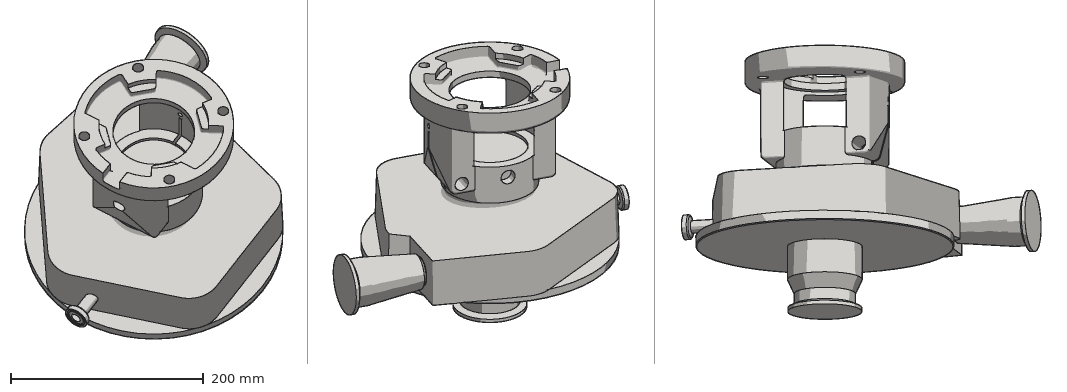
import cadquery as cq
import math


plate_radius = 134.2
plate_thickness = 9.8
plate_chamfer = 1.0
casing_top = 61.0
casing_apothem = 115.3
casing_lip = 2.5
casing_draft = 1.6
casing_corner = 34.0
outlet_wall_y = 114.0
outlet_wall_left_x = -123.5
outlet_wall_corner = 1.5
notch_top_y = 133.2

neck_radius = 45.0
neck_flare = 9.8
collar_radius = 50.8
collar_bore = 39.5
collar_bore_depth = 3.5
collar_base = 75.7
collar_top = 117.5
collar_hole_radius = 7.7
collar_hole_z = 104.0

flange_radius = 83.0
flange_bottom = 171.7
flange_top = 196.3
flange_bore = 42.5
flange_edge_round = 3.0
bolt_hole_radius = 5.5
bolt_circle = 74.0
recess_depth = 13.5
recess_radius = 73.0
recess_small_radius = 68.7
recess_round = 2.5
lug_face = 48.5
lug_half_angle = 15
lug_flat_y = -26.5
lug_overrun = 1.1
spigot_radius = 57.0
spigot_depth = 6.3
drain_slot_width = 20.7

leg_half_width = 39.0
leg_ridge_y = 68.7
leg_ridge_half_width = 2.8
leg_shoulder_y = 58.2
leg_inner_radius = 51.5
leg_relief_top = 175.2
leg_bottom = 88.0
leg_slope_top = 126.5
leg_toe_y = 58.2
leg_toe_round = 7.0
leg_edge_round = 2.8
leg_flare = 4.0
leg_hole_radius = 7.0
leg_hole_z = 130.0

slit_width = 3.0
slit_top = 145.8
slit_end_hole_radius = 2.5
slit_end_hole_z = 152.8
screw_hole_radius = 7.5
screw_y = 47.3
screw_z = 99.5

inlet_radius = 39.0
inlet_cone_top = -35.0
inlet_neck_radius = 32.0
inlet_neck_top = -50.0
inlet_end = -69.0
inlet_ferrule_radius = 38.5

outlet_x = -90.5
outlet_z = 34.7
outlet_end = 199.5
outlet_radius = 25.5
outlet_taper_end = 178.5
outlet_root_radius = 19.0
outlet_root_y = 117.8
outlet_root_round = 3.0
outlet_ferrule_radius = 32.0

ferrule_rim = 4.0
ferrule_cone = 3.0

port_z = 29.0
port_end = -151.0
port_radius = 6.5
port_bore = 5.3
port_bore_depth = 28.0
port_ferrule_radius = 13.0
port_rim = 5.3
port_cone = 1.5
port_groove_inner = 9.0
port_groove_outer = 11.0
port_groove_depth = 1.0

pipe_overlap = 7.0


def cylinder(radius, bottom, top):
    return cq.Workplane("XY").workplane(offset=bottom).circle(radius).extrude(top - bottom)


def cylinder_along_x(radius, start, length, y, z):
    return cq.Workplane("YZ", origin=(start, y, z)).circle(radius).extrude(length)


def cylinder_along_y(radius, start, length, x, z):
    return cq.Workplane("XZ", origin=(x, start, z)).circle(radius).extrude(-length)


def polar(radius, degrees):
    angle = math.radians(degrees)
    return (radius * math.cos(angle), radius * math.sin(angle))


def revolve_about_y(profile, x, z):
    """Revolve a closed (radius, y) profile about the line parallel to Y through (x, z)."""
    solid = cq.Workplane("XY").polyline(profile).close().revolve(360, (0, 0, 0), (0, 1, 0))
    return solid.translate((x, 0, z))


def base_plate():
    return cylinder(plate_radius, 0, plate_thickness).faces("<Z").edges().chamfer(plate_chamfer)


def casing():
    corner_radius = casing_apothem / math.cos(math.pi / 5)
    right_top, right_bottom, bottom, left = [polar(corner_radius, a) for a in (36, -36, -108, 180)]
    normal_x, normal_y = polar(1, 72)
    shoulder = ((casing_apothem - normal_y * notch_top_y) / normal_x, notch_top_y)
    wall_x, wall_y = polar(1, 144)
    notch_slope = -wall_y / wall_x
    notch_bottom = ((casing_apothem - wall_y * outlet_wall_y) / wall_x, outlet_wall_y)
    overrun = notch_top_y / outlet_wall_y
    left_end = (left[0] + (outlet_wall_left_x - left[0]) * overrun, notch_top_y)
    outline = [right_top, right_bottom, bottom, left, left_end, shoulder]
    height = casing_top - casing_lip - plate_thickness
    body = cq.Workplane("XY").workplane(offset=plate_thickness)
    body = body.polyline(outline).close().extrude(height, taper=casing_draft)
    for x, y in (right_top, right_bottom, bottom, left, shoulder):
        near_corner = cq.selectors.NearestToPointSelector((x, y, plate_thickness + height / 2))
        body = body.edges(near_corner).fillet(casing_corner)
    notch_rise = 2 * (notch_top_y - outlet_wall_y)
    notch = [
        notch_bottom,
        (notch_bottom[0] + notch_rise * notch_slope, notch_bottom[1] + notch_rise),
        (left[0], notch_bottom[1] + notch_rise),
        (left[0], outlet_wall_y),
    ]
    body = body.cut(cq.Workplane("XY").polyline(notch).close().extrude(casing_top))
    outlet_corner = cq.selectors.NearestToPointSelector((outlet_wall_left_x, outlet_wall_y, casing_top / 2))
    body = body.edges(outlet_corner).fillet(outlet_wall_corner)
    return body.faces(">Z").wires().toPending().workplane().extrude(casing_lip)


def neck():
    flare_radius = neck_radius + neck_flare
    flare_mid = (
        flare_radius - neck_flare * math.sin(math.pi / 4),
        casing_top + neck_flare - neck_flare * math.cos(math.pi / 4),
    )
    return (
        cq.Workplane("XZ")
        .moveTo(0, casing_top)
        .lineTo(flare_radius, casing_top)
        .threePointArc(flare_mid, (neck_radius, casing_top + neck_flare))
        .lineTo(neck_radius, collar_base)
        .lineTo(0, collar_base)
        .close()
        .revolve(360, (0, 0, 0), (0, 1, 0))
    )


def leg():
    """The -Y leg: a shallow V in plan, sloping inward at its foot."""
    prism_height = flange_bottom - leg_bottom
    plan = [
        (-leg_half_width, 0),
        (-leg_half_width, -leg_shoulder_y),
        (-leg_ridge_half_width, -leg_ridge_y),
        (leg_ridge_half_width, -leg_ridge_y),
        (leg_half_width, -leg_shoulder_y),
        (leg_half_width, 0),
    ]
    side = [
        (0, leg_bottom),
        (-leg_toe_y, leg_bottom),
        (-leg_ridge_y, leg_slope_top),
        (-leg_ridge_y, flange_bottom),
        (0, flange_bottom),
    ]
    prism = cq.Workplane("XY").workplane(offset=leg_bottom).polyline(plan).close().extrude(prism_height)
    slab = cq.Workplane("YZ").polyline(side).close().extrude(leg_half_width, both=True)
    toe = cq.selectors.NearestToPointSelector((0, -leg_toe_y, leg_bottom))
    body = prism.intersect(slab.edges(toe).fillet(leg_toe_round))
    outer_edges = cq.selectors.BoxSelector(
        (-2 * leg_half_width, -leg_ridge_y, leg_bottom - 3.5), (2 * leg_half_width, -3.5, flange_bottom - 3.5)
    )
    for side_face in ("<X", ">X"):
        body = body.faces(side_face).edges(outer_edges).fillet(leg_edge_round)
    return body


def yoke():
    """Collar, two legs and the flange blank."""
    front_leg = leg()
    legs = front_leg.union(front_leg.rotate((0, 0, 0), (0, 0, 1), 180))
    body = cylinder(flange_radius, flange_bottom, flange_top)
    body = body.faces("<Z").edges().fillet(flange_edge_round).union(legs)
    flare_zone = cq.selectors.BoxSelector(
        (-leg_half_width - 3.5, -leg_ridge_y - 3.5, flange_bottom - 0.5),
        (leg_half_width + 3.5, leg_ridge_y + 3.5, flange_bottom + 0.5),
    )
    body = body.edges(flare_zone).fillet(leg_flare)
    body = body.cut(cylinder(leg_inner_radius, collar_top, leg_relief_top))
    return body.union(cylinder(collar_radius, collar_base, collar_top))


def lug(outline):
    floor = flange_top - recess_depth
    return cq.Workplane("XY").workplane(offset=floor).polyline(outline).close().extrude(recess_depth)


def flange_recess():
    """Round recess interrupted by four bolt lugs, with a drain slot toward -Y."""
    floor = flange_top - recess_depth
    lobe_width = recess_radius * math.sqrt(2)
    side_lobes = cq.Workplane("XY").workplane(offset=floor).rect(2 * recess_radius, lobe_width)
    recess = cylinder(recess_radius, floor, flange_top).intersect(side_lobes.extrude(recess_depth))
    recess = recess.union(cylinder(recess_small_radius, floor, flange_top))
    face_corner = lug_face / math.cos(math.radians(lug_half_angle))
    lug_reach = flange_radius * lug_overrun
    for mirror in (1, -1):
        upper = [
            polar(face_corner, 45 - lug_half_angle),
            polar(lug_reach, 45 - lug_half_angle),
            polar(lug_reach, 45 + lug_half_angle),
            polar(face_corner, 45 + lug_half_angle),
        ]
        lower = [
            (lug_face * math.sqrt(2) + lug_flat_y, lug_flat_y),
            (flange_radius, lug_flat_y),
            (flange_radius, -flange_radius),
            polar(lug_reach, -45 - lug_half_angle),
            polar(face_corner, -45 - lug_half_angle),
        ]
        for outline in (upper, lower):
            recess = recess.cut(lug([(mirror * x, y) for x, y in outline]))
    recess = recess.edges("|Z").fillet(recess_round)
    slot = (
        cq.Workplane("XY")
        .workplane(offset=floor)
        .center(0, -flange_radius / 2 - lug_face / 2)
        .rect(drain_slot_width, flange_radius - lug_face + 7)
        .extrude(recess_depth)
    )
    recess = recess.union(slot)
    floor_edges = recess.faces("<Z").edges().edges("not <Y")
    return floor_edges.fillet(recess_round)


def bolt_holes():
    return (
        cq.Workplane("XY")
        .workplane(offset=flange_bottom)
        .polarArray(bolt_circle, 45, 360, 4)
        .circle(bolt_hole_radius)
        .extrude(flange_top - flange_bottom)
    )


def clamp_slit():
    slit = cq.Workplane("XY").box(
        slit_width, 2 * leg_ridge_y, slit_top - collar_base, centered=(True, False, False)
    )
    return slit.translate((0, 0, collar_base)).cut(cylinder(collar_bore, collar_base, collar_top))


def inlet():
    cone_end = inlet_end + ferrule_rim
    profile = [
        (0, 0),
        (inlet_radius, 0),
        (inlet_radius, inlet_cone_top),
        (inlet_neck_radius, inlet_neck_top),
        (inlet_neck_radius, cone_end + ferrule_cone),
        (inlet_ferrule_radius, cone_end),
        (inlet_ferrule_radius, inlet_end),
        (0, inlet_end),
    ]
    return cq.Workplane("XZ").polyline(profile).close().revolve(360, (0, 0, 0), (0, 1, 0))


def outlet():
    cone_end = outlet_end - ferrule_rim
    root_start = casing_apothem - pipe_overlap
    root_end = outlet_root_y - outlet_root_round
    profile = [
        (0, root_start),
        (outlet_root_radius - outlet_root_round, root_start),
        (outlet_root_radius - outlet_root_round, root_end),
        (outlet_root_radius, outlet_root_y),
        (outlet_radius, outlet_taper_end),
        (outlet_radius, cone_end - ferrule_cone),
        (outlet_ferrule_radius, cone_end),
        (outlet_ferrule_radius, outlet_end),
        (0, outlet_end),
    ]
    return revolve_about_y(profile, outlet_x, outlet_z)


def drain_port():
    cone_end = port_end + port_rim
    root_start = pipe_overlap - casing_apothem
    profile = [
        (0, root_start),
        (port_radius, root_start),
        (port_radius, cone_end + 2 * port_cone),
        (port_ferrule_radius - port_cone, cone_end + port_cone),
        (port_ferrule_radius, cone_end),
        (port_ferrule_radius, port_end),
        (port_groove_outer, port_end),
        (port_groove_outer, port_end + port_groove_depth),
        (port_groove_inner, port_end + port_groove_depth),
        (port_groove_inner, port_end),
        (0, port_end),
    ]
    return revolve_about_y(profile, 0, port_z)


upper_body = (
    yoke()
    .cut(cylinder(collar_bore, collar_top - collar_bore_depth, collar_top))
    .cut(cylinder(flange_bore, flange_bottom, flange_top))
    .cut(cylinder(spigot_radius, flange_top - spigot_depth, flange_top))
    .cut(flange_recess())
    .cut(bolt_holes())
    .cut(clamp_slit())
    .cut(cylinder_along_y(slit_end_hole_radius, 0, leg_ridge_y, 0, slit_end_hole_z))
    .cut(cylinder_along_y(leg_hole_radius, -leg_ridge_y, leg_ridge_y, 0, leg_hole_z))
    .cut(cylinder_along_x(screw_hole_radius, -leg_half_width, 2 * leg_half_width, screw_y, screw_z))
    .cut(cylinder_along_x(collar_hole_radius, -collar_radius, collar_radius - collar_bore, 0, collar_hole_z))
)

lower_body = base_plate().union(casing()).union(neck()).union(inlet()).union(outlet()).union(drain_port())

result = lower_body.union(upper_body).cut(
    cylinder_along_y(port_bore, port_end, port_bore_depth, 0, port_z)
)